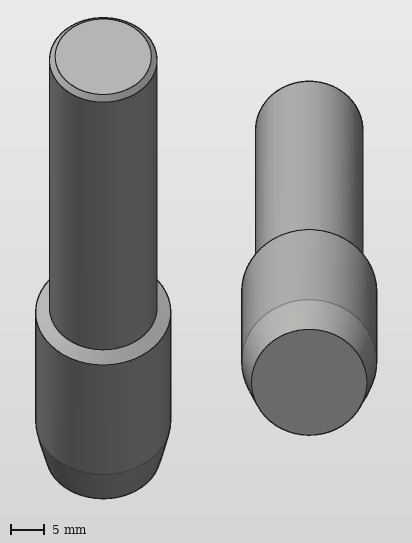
import cadquery as cq

total_length = 95.0
shank_diameter = 16.0
head_diameter = 20.0
nose_end_diameter = 17.1
head_length = 35.0
nose_length = 7.7
shoulder_height = 1.0
nose_bulge = 0.1
tip_chamfer_width = 0.9
tip_chamfer_height = 0.8

shank_radius = shank_diameter / 2
head_radius = head_diameter / 2
nose_end_radius = nose_end_diameter / 2


def make_shank():
    """Plain round shank with a chamfered tip, standing on the head."""
    return (
        cq.Workplane("XY")
        .workplane(offset=head_length)
        .circle(shank_radius)
        .extrude(total_length - head_length)
        .faces(">Z")
        .chamfer(tip_chamfer_height, tip_chamfer_width)
    )


def make_head():
    """Round head with a bowed tapering nose below and a conical shoulder above."""
    nose_middle_radius = (nose_end_radius + head_radius) / 2 + nose_bulge
    half_profile = (
        cq.Workplane("XZ")
        .lineTo(nose_end_radius, 0)
        .threePointArc((nose_middle_radius, nose_length / 2), (head_radius, nose_length))
        .lineTo(head_radius, head_length - shoulder_height)
        .lineTo(shank_radius, head_length)
        .lineTo(0, head_length)
        .close()
    )
    return half_profile.revolve(360, (0, 0, 0), (0, 1, 0))


shank = make_shank()
head = make_head()
result = cq.Compound.makeCompound([shank.val(), head.val()])